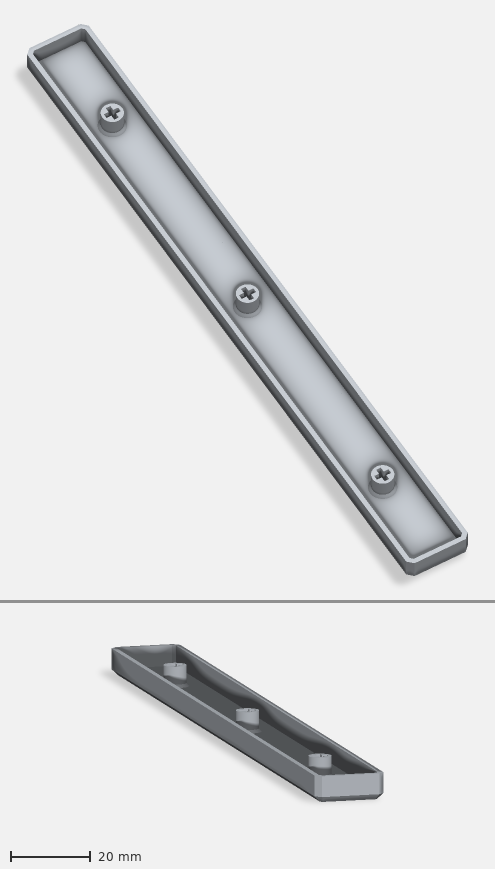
import cadquery as cq

length = 189.5
width = 18.0
height = 6.8
wall = 1.3
floor = 1.5
outer_chamfer = 1.5
inner_chamfer = 0.8

stem_diameter = 5.9
stem_spacing = 66.5
stem_height = height - floor
foot_flare = 0.8
slot_length = 4.2
slot_width = 1.3


def make_tray():
    """Open-topped tray with chamfered upright corners and bottom edge."""
    body = cq.Workplane("XY").box(length, width, height, centered=(True, True, False))
    body = body.edges("|Z").chamfer(outer_chamfer)
    body = body.faces("<Z").edges().chamfer(outer_chamfer)
    pocket = (
        cq.Workplane("XY")
        .workplane(offset=floor)
        .rect(length - 2 * wall, width - 2 * wall)
        .extrude(height - floor)
        .edges("|Z")
        .chamfer(inner_chamfer)
    )
    return body.cut(pocket)


def make_stem(x):
    """Round stem with a conical foot and a cross-shaped socket down to the floor."""
    radius = stem_diameter / 2
    profile = [
        (0, 0),
        (radius + foot_flare, 0),
        (radius, foot_flare),
        (radius, stem_height),
        (0, stem_height),
    ]
    stem = cq.Workplane("XZ").polyline(profile).close().revolve(360, (0, 0), (0, 1))
    for size_x, size_y in ((slot_length, slot_width), (slot_width, slot_length)):
        slot = cq.Workplane("XY").rect(size_x, size_y).extrude(stem_height)
        stem = stem.cut(slot)
    return stem.translate((x, 0, floor))


result = make_tray()
for stem_x in (-stem_spacing, 0, stem_spacing):
    result = result.union(make_stem(stem_x))